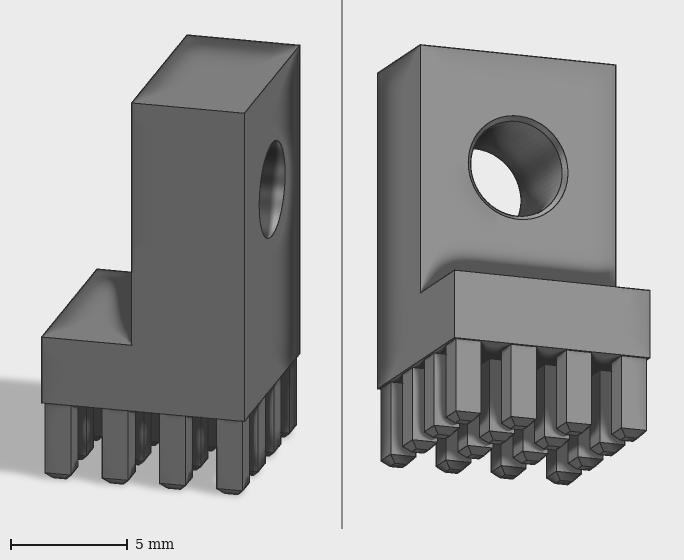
import cadquery as cq

overall_height = 17.5
body_side = 9.0

pin_length = 3.5
foot_height = 3.0
upright_thickness = 5.0

hole_diameter = 4.2
hole_chamfer = 0.2
hole_below_top = 5.0

pins_per_side = 4
pin_pitch = 2.54
pin_width = 1.15
pin_tip_chamfer = 0.3

half_side = body_side / 2
foot_bottom = pin_length
foot_top = foot_bottom + foot_height
upright_face = half_side - upright_thickness
hole_height = overall_height - hole_below_top


def make_body():
    """L-shaped profile in the XZ plane, extruded across the full width in Y."""
    profile = [
        (-half_side, foot_bottom),
        (half_side, foot_bottom),
        (half_side, overall_height),
        (upright_face, overall_height),
        (upright_face, foot_top),
        (-half_side, foot_top),
    ]
    return cq.Workplane("XZ").polyline(profile).close().extrude(half_side, both=True)


def make_hole_cutter():
    """Through hole with a chamfered mouth on the foot side of the upright."""
    hole_radius = hole_diameter / 2
    mouth_plane = cq.Workplane("YZ", origin=(upright_face, 0, hole_height))
    bore = mouth_plane.circle(hole_radius).extrude(upright_thickness)
    mouth = mouth_plane.circle(hole_radius + hole_chamfer).extrude(hole_chamfer, taper=45)
    return bore.union(mouth)


def make_pins():
    """Square grid of pins under the body, each with a chamfered tip."""
    return (
        cq.Workplane("XY")
        .rarray(pin_pitch, pin_pitch, pins_per_side, pins_per_side)
        .rect(pin_width, pin_width)
        .extrude(pin_length)
        .faces("<Z")
        .edges()
        .chamfer(pin_tip_chamfer)
    )


result = make_body().cut(make_hole_cutter()).union(make_pins())